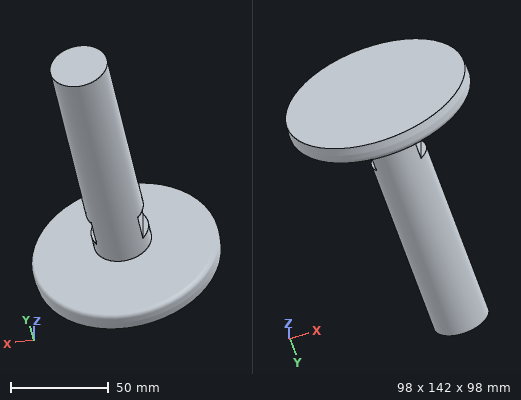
import cadquery as cq
import math

total_length = 142.0
disc_diameter = 98.0
stem_diameter = 30.0

face_diameter = 96.8
band_height = 4.3
rim_height = 7.2
shoulder_radius = 3.0
cone_angle = 9.7

flat_start = 24.0
flat_width = 14.9
across_flats = 24.0

disc_radius = disc_diameter / 2
stem_radius = stem_diameter / 2
foot_y = -total_length / 2


def shoulder_point(angle):
    """Point on the shoulder arc, with the angle in degrees up from the rim side."""
    turn = math.radians(angle)
    return (
        disc_radius - shoulder_radius * (1 - math.cos(turn)),
        rim_height + shoulder_radius * math.sin(turn),
    )


def turned_body():
    """Disc with a rounded shoulder, tangent conical back and plain round stem."""
    arc_sweep = 90 - cone_angle
    shoulder_end = shoulder_point(arc_sweep)
    cone_rise = (shoulder_end[0] - stem_radius) * math.tan(math.radians(cone_angle))
    cone_height = shoulder_end[1] + cone_rise
    profile = (
        cq.Workplane("XY")
        .lineTo(face_diameter / 2, 0)
        .lineTo(disc_radius, band_height)
        .lineTo(disc_radius, rim_height)
        .threePointArc(shoulder_point(arc_sweep / 2), shoulder_end)
        .lineTo(stem_radius, cone_height)
        .lineTo(stem_radius, total_length)
        .lineTo(0, total_length)
        .close()
    )
    return profile.revolve(360, (0, 0, 0), (0, 1, 0)).translate((0, foot_y, 0))


def flat_cutter(side):
    """Block that removes the stem beyond one flat; side is +1 or -1 along X."""
    center_x = side * (across_flats + stem_diameter) / 2
    center_y = foot_y + flat_start + flat_width / 2
    return (
        cq.Workplane("XY")
        .box(stem_diameter, flat_width, stem_diameter)
        .translate((center_x, center_y, 0))
    )


result = turned_body()
for side in (-1, 1):
    result = result.cut(flat_cutter(side))